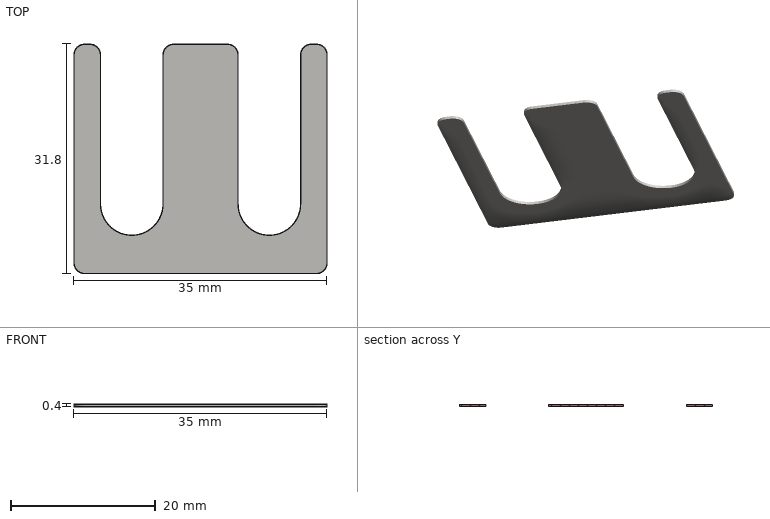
import cadquery as cq

width = 35.05
depth = 31.75
thickness = 0.4

slot_width = 8.62
slot_spacing = 19.03
web_depth = 5.33

corner_radius = 1.5

slot_radius = slot_width / 2
slot_center_y = -depth / 2 + web_depth + slot_radius
slot_straight_length = depth / 2 - slot_center_y


def make_slot(center_x):
    """Cutter for one slot: a round bottom and a straight run out of the +Y edge."""
    round_bottom = (
        cq.Workplane("XY")
        .center(center_x, slot_center_y)
        .circle(slot_radius)
        .extrude(thickness)
    )
    straight_run = (
        cq.Workplane("XY")
        .center(center_x, slot_center_y + slot_straight_length / 2)
        .rect(slot_width, slot_straight_length)
        .extrude(thickness)
    )
    return round_bottom.union(straight_run)


plate = cq.Workplane("XY").box(width, depth, thickness, centered=(True, True, False))
for side in (-1, 1):
    plate = plate.cut(make_slot(side * slot_spacing / 2))

tip_corners = plate.faces(">Y").edges("|Z")
base_corners = plate.faces("<Y").edges("|Z")
result = plate.newObject(tip_corners.vals() + base_corners.vals()).fillet(corner_radius)